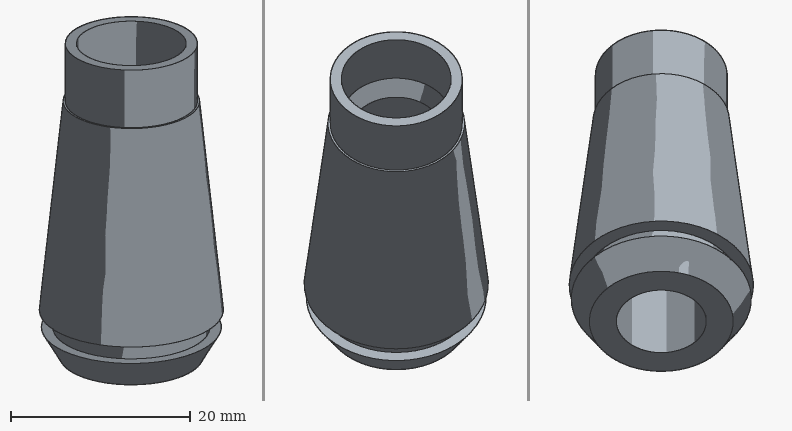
import cadquery as cq
import math

total_height = 38.0
nose_height = 3.5
groove_width = 2.1
neck_length = 7.0
groove_top = nose_height + groove_width
shoulder_height = total_height - neck_length

cone_half_angle = 30.0
cone_slope = math.tan(math.radians(cone_half_angle))

nose_bottom_radius = 8.0
nose_top_radius = nose_bottom_radius + nose_height * cone_slope
groove_radius = 8.75
body_large_radius = 10.25
body_small_radius = 7.6
neck_radius = 7.35

socket_radius = 6.1
hole_radius = 5.0
hole_length = 30.0
funnel_length = (socket_radius - hole_radius) / cone_slope
socket_floor = hole_length + funnel_length


def revolve_about_z(profile_points):
    """Turn a closed (radius, height) outline around the Z axis."""
    outline = cq.Workplane("YZ").polyline(profile_points).close()
    return outline.revolve(360, (0, 0, 0), (0, 1, 0))


def outer_body():
    """Nose cone, undercut groove, long tapered body and straight neck."""
    return revolve_about_z([
        (0, 0),
        (nose_bottom_radius, 0),
        (nose_top_radius, nose_height),
        (groove_radius, nose_height),
        (groove_radius, groove_top),
        (body_large_radius, groove_top),
        (body_small_radius, shoulder_height),
        (neck_radius, shoulder_height),
        (neck_radius, total_height),
        (0, total_height),
    ])


def stepped_bore():
    """Through hole that funnels out into the wider socket at the top."""
    return revolve_about_z([
        (0, 0),
        (hole_radius, 0),
        (hole_radius, hole_length),
        (socket_radius, socket_floor),
        (socket_radius, total_height),
        (0, total_height),
    ])


result = outer_body().cut(stepped_bore())